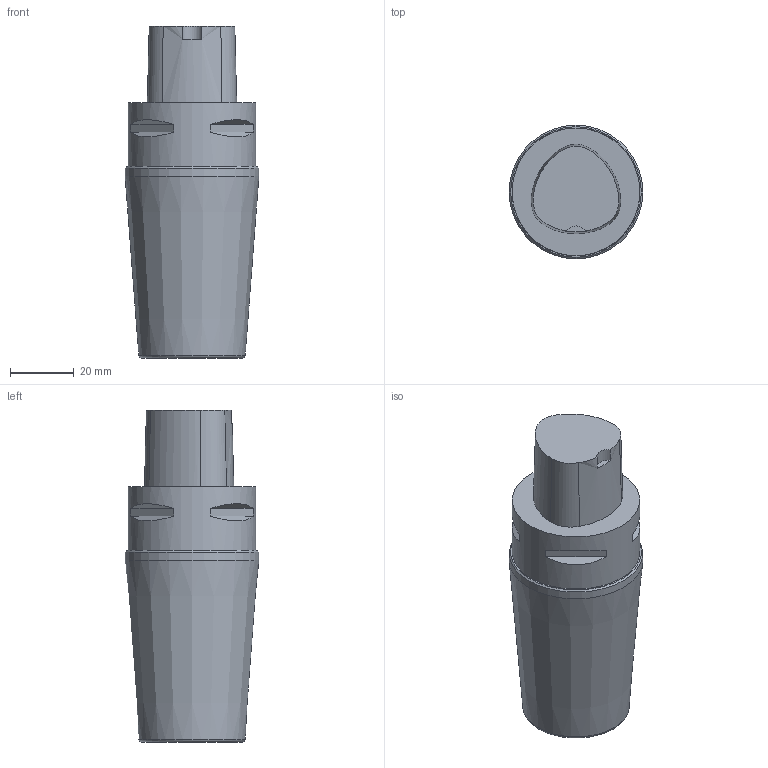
import cadquery as cq
import math

TOTAL_HEIGHT = 104.0
SHANK_HEIGHT = 24.0
FLANGE_HEIGHT = 20.0
BAND_HEIGHT = 3.1
FLANGE_TOP = TOTAL_HEIGHT - SHANK_HEIGHT
BAND_TOP = FLANGE_TOP - FLANGE_HEIGHT
BAND_BOTTOM = BAND_TOP - BAND_HEIGHT

FLANGE_DIAMETER = 40.0
BAND_DIAMETER = 41.9
NOSE_DIAMETER = 33.2
BAND_CHAMFER = 0.5
NOSE_FILLET = 1.0

SHANK_WIDTH = 28.0
SHANK_TAPER = 1 / 20
LOBE_ECCENTRICITY = 0.9
LOBE_COUNT = 3
FIRST_LOBE_ANGLE = 90.0
CURVE_STEPS = 8

SLOT_COUNT = 4
SLOT_FIRST_ANGLE = 45.0
SLOT_DROP = 8.05
SLOT_FLOOR_DISTANCE = 17.6
SLOT_FLOOR_HEIGHT = 2.4
SLOT_MOUTH_HEIGHT = 5.4

NOTCH_RADIUS = 3.5
NOTCH_DEPTH = 4.1
NOTCH_INNER_Y = -10.7


def turned_body():
    """Flange, chamfered band and tapering nose, revolved about Z."""
    flange_radius = FLANGE_DIAMETER / 2
    band_radius = BAND_DIAMETER / 2
    body = (
        cq.Workplane("XZ")
        .moveTo(0, 0)
        .lineTo(NOSE_DIAMETER / 2, 0)
        .lineTo(band_radius, BAND_BOTTOM)
        .lineTo(band_radius, BAND_TOP - BAND_CHAMFER)
        .lineTo(band_radius - BAND_CHAMFER, BAND_TOP)
        .lineTo(flange_radius, BAND_TOP)
        .lineTo(flange_radius, FLANGE_TOP)
        .lineTo(0, FLANGE_TOP)
        .close()
        .revolve(360, (0, 0), (0, 1))
    )
    return body.faces("<Z").edges().fillet(NOSE_FILLET)


def lobed_point(width, angle):
    """Point of the constant-width lobed curve whose outward normal is at this angle (degrees)."""
    normal = math.radians(angle)
    phase = LOBE_COUNT * math.radians(angle - FIRST_LOBE_ANGLE)
    support = width / 2 + LOBE_ECCENTRICITY * math.cos(phase)
    slope = -LOBE_COUNT * LOBE_ECCENTRICITY * math.sin(phase)
    x = support * math.cos(normal) - slope * math.sin(normal)
    y = support * math.sin(normal) + slope * math.cos(normal)
    return x, y


def lobed_tangent(angle):
    """Direction of the lobed curve where its outward normal is at this angle (degrees)."""
    normal = math.radians(angle)
    return -math.sin(normal), math.cos(normal)


def lobed_outline(plane, width):
    """Closed outline of alternating lobe and flank curves, tangent where they meet."""
    curve_count = 2 * LOBE_COUNT
    sweep = 360 / curve_count
    start = FIRST_LOBE_ANGLE - sweep / 2
    outline = plane.moveTo(*lobed_point(width, start))
    for index in range(curve_count):
        first = start + index * sweep
        angles = [first + sweep * step / CURVE_STEPS for step in range(1, CURVE_STEPS + 1)]
        points = [lobed_point(width, angle) for angle in angles]
        ends = [lobed_tangent(first), lobed_tangent(first + sweep)]
        outline = outline.spline(points, tangents=ends, includeCurrent=True)
    return outline.close()


def shank():
    """Lobed shank that narrows evenly towards its top."""
    top_width = SHANK_WIDTH - SHANK_TAPER * SHANK_HEIGHT
    base = lobed_outline(cq.Workplane("XY").workplane(offset=FLANGE_TOP), SHANK_WIDTH)
    sections = lobed_outline(base.workplane(offset=SHANK_HEIGHT), top_width)
    return sections.loft(ruled=True)


def gripper_slot(angle):
    """Cutter for one flat-floored slot with flared side walls."""
    floor_to_rim = FLANGE_DIAMETER / 2 - SLOT_FLOOR_DISTANCE
    flare = (SLOT_MOUTH_HEIGHT - SLOT_FLOOR_HEIGHT) / 2 / floor_to_rim
    outer = BAND_DIAMETER / 2
    outer_half = SLOT_FLOOR_HEIGHT / 2 + flare * (outer - SLOT_FLOOR_DISTANCE)
    floor_half = SLOT_FLOOR_HEIGHT / 2
    middle = FLANGE_TOP - SLOT_DROP
    cutter = (
        cq.Workplane("XZ")
        .moveTo(SLOT_FLOOR_DISTANCE, middle - floor_half)
        .lineTo(outer, middle - outer_half)
        .lineTo(outer, middle + outer_half)
        .lineTo(SLOT_FLOOR_DISTANCE, middle + floor_half)
        .close()
        .extrude(FLANGE_DIAMETER / 2, both=True)
    )
    return cutter.rotate((0, 0, 0), (0, 0, 1), angle)


def locating_notch():
    """Cutter for the round-backed notch in the top edge of the shank."""
    return (
        cq.Workplane("XY")
        .workplane(offset=TOTAL_HEIGHT - NOTCH_DEPTH)
        .center(0, NOTCH_INNER_Y - NOTCH_RADIUS)
        .circle(NOTCH_RADIUS)
        .extrude(NOTCH_DEPTH)
    )


result = turned_body().union(shank())
for slot_index in range(SLOT_COUNT):
    result = result.cut(gripper_slot(SLOT_FIRST_ANGLE + slot_index * 360 / SLOT_COUNT))
result = result.cut(locating_notch())